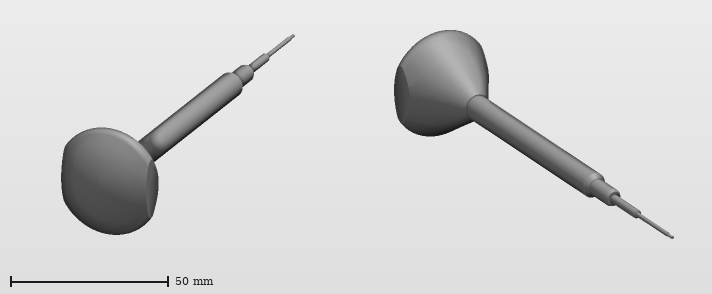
import cadquery as cq
import math

total_length = 144.0

bit_end = 2.9
rod_end = 20.3
collar_end = 34.0
sleeve_end = 44.0
grip_end = 113.9

bit_radius = 0.5
rod_radius = 0.7
collar_radius = 1.5
sleeve_radius = 2.9
grip_radius = 4.2

collar_bevel = (0.3, 0.6)
sleeve_bevel = (1.0, 0.5)
grip_bevel = (1.7, 1.2)

neck_radius = 4.5
handle_radius = 18.0
rim_rounding = 3.0
rim_height = 8.8
handle_width = 30.0


def shaft_length(start, end, radius, bevel=None):
    """A round length of the shaft between two distances from the tip."""
    back = total_length - end
    front = total_length - start
    outline = cq.Workplane("ZY").moveTo(0, back).lineTo(radius, back)
    if bevel is None:
        outline = outline.lineTo(radius, front)
    else:
        bevel_length, bevel_depth = bevel
        outline = outline.lineTo(radius, front - bevel_length)
        outline = outline.lineTo(radius - bevel_depth, front)
    return outline.lineTo(0, front).close().revolve(360, (0, 0), (0, 1))


def palm_handle():
    """The handle turned about Y, with a flat on each side."""
    neck_height = total_length - grip_end
    rim_centre = handle_radius - rim_rounding

    tangent_squared = rim_centre**2 + rim_height**2 - rim_rounding**2
    dome_radius = tangent_squared / (2 * (rim_height - rim_rounding))
    dome_angle = math.atan2(rim_height - dome_radius, rim_centre)
    dome_middle_angle = (dome_angle - math.pi / 2) / 2

    reach = math.hypot(rim_centre - neck_radius, neck_height - rim_height)
    neck_direction = math.atan2(neck_height - rim_height, neck_radius - rim_centre)
    cone_angle = neck_direction - math.acos(rim_rounding / reach)

    def rim_point(angle):
        """Point of the rim circle at an angle from the outward radial direction."""
        return (
            rim_centre + rim_rounding * math.cos(angle),
            rim_height + rim_rounding * math.sin(angle),
        )

    dome_middle = (
        dome_radius * math.cos(dome_middle_angle),
        dome_radius * (1 + math.sin(dome_middle_angle)),
    )
    turned = (
        cq.Workplane("ZY")
        .moveTo(0, 0)
        .threePointArc(dome_middle, rim_point(dome_angle))
        .threePointArc(rim_point(0), rim_point(cone_angle))
        .lineTo(neck_radius, neck_height)
        .lineTo(0, neck_height)
        .close()
        .revolve(360, (0, 0), (0, 1))
    )
    between_flats = cq.Workplane("XY").box(handle_width, 2 * total_length, 2 * handle_radius)
    return turned.intersect(between_flats)


result = (
    palm_handle()
    .union(shaft_length(sleeve_end, grip_end, grip_radius, grip_bevel))
    .union(shaft_length(collar_end, sleeve_end, sleeve_radius, sleeve_bevel))
    .union(shaft_length(rod_end, collar_end, collar_radius, collar_bevel))
    .union(shaft_length(bit_end, rod_end, rod_radius))
    .union(shaft_length(0, bit_end, bit_radius))
)